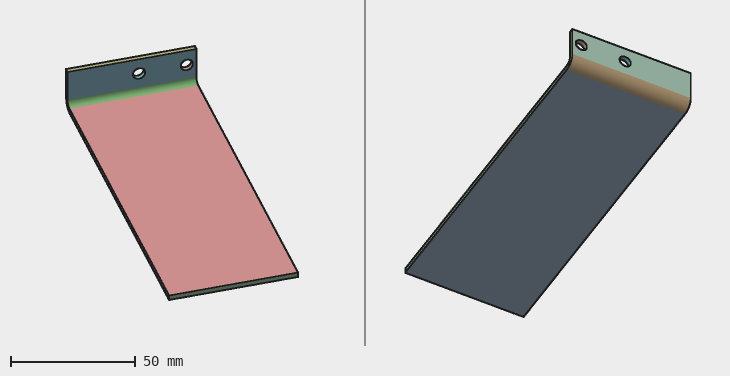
import cadquery as cq

length = 140.0
width = 54.0
height = 18.5

thickness = 2.2
inner_radius = 2.5
outer_radius = inner_radius + thickness

hole_count = 2
hole_diameter = 5.0
hole_spacing = 20.0
hole_edge_distance = 4.0
hole_depth_from_top = 7.0


def make_bent_sheet():
    """L-shaped sheet: a long flat base with a short upright flange at X = 0."""
    profile = (
        cq.Workplane("XZ")
        .moveTo(length, 0)
        .lineTo(outer_radius, 0)
        .radiusArc((0, outer_radius), outer_radius)
        .lineTo(0, height)
        .lineTo(thickness, height)
        .lineTo(thickness, outer_radius)
        .radiusArc((outer_radius, thickness), -inner_radius)
        .lineTo(length, thickness)
        .close()
    )
    return profile.extrude(-width)


def make_flange_holes():
    """Round cutters through the flange, set out from its +Y edge."""
    first_y = width - hole_edge_distance
    hole_z = height - hole_depth_from_top
    centers = [(first_y - i * hole_spacing, hole_z) for i in range(hole_count)]
    return cq.Workplane("YZ").pushPoints(centers).circle(hole_diameter / 2).extrude(thickness)


result = make_bent_sheet().cut(make_flange_holes())